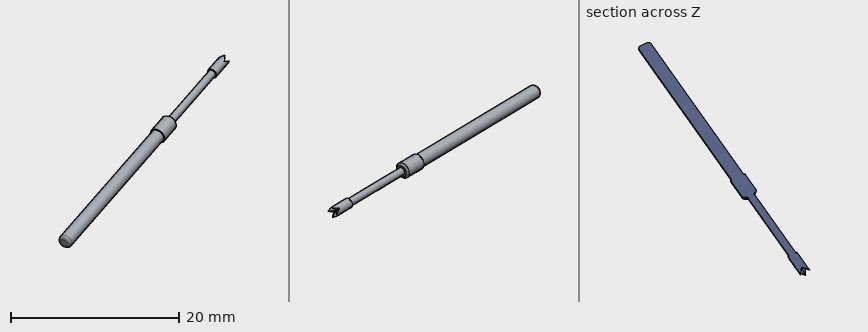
import cadquery as cq
import math


collar_diameter = 2.0
barrel_diameter = 1.7
head_diameter = 1.3
plunger_diameter = 1.0

total_length = 37.8
head_length = 3.0
collar_length = 3.0
barrel_length = 22.0

collar_chamfer = 0.25
tail_radius = 0.4
tooth_height = 0.85
tooth_count = 4

tip_y = total_length - barrel_length
head_y = tip_y - head_length


def cylinder(diameter, start_y, length):
    """Solid cylinder on the Y axis, running from start_y toward +Y."""
    base = cq.Workplane("XZ", origin=(0, start_y, 0))
    return base.circle(diameter / 2).extrude(-length)


def make_barrel():
    barrel = cylinder(barrel_diameter, -barrel_length, barrel_length)
    return barrel.faces("<Y").edges().fillet(tail_radius)


def make_collar():
    collar = cylinder(collar_diameter, 0, collar_length)
    return collar.faces(">Y").edges().chamfer(collar_chamfer)


def make_head():
    """Head crowned by diametral V-grooves that leave one sharp tooth between neighbours."""
    head = cylinder(head_diameter, head_y, head_length)
    tooth_pitch = 360 / tooth_count
    half_width = head_diameter / 2 * math.sin(math.radians(tooth_pitch / 2))
    groove = (
        cq.Workplane("XY")
        .moveTo(-half_width, tip_y)
        .lineTo(half_width, tip_y)
        .lineTo(0, tip_y - tooth_height)
        .close()
        .extrude(head_diameter, both=True)
    )
    for index in range(tooth_count // 2):
        angle = (index + 0.5) * tooth_pitch
        head = head.cut(groove.rotate((0, 0, 0), (0, 1, 0), angle))
    return head


def make_plunger():
    return cylinder(plunger_diameter, collar_length, head_y - collar_length)


result = make_barrel().union(make_collar()).union(make_plunger()).union(make_head())